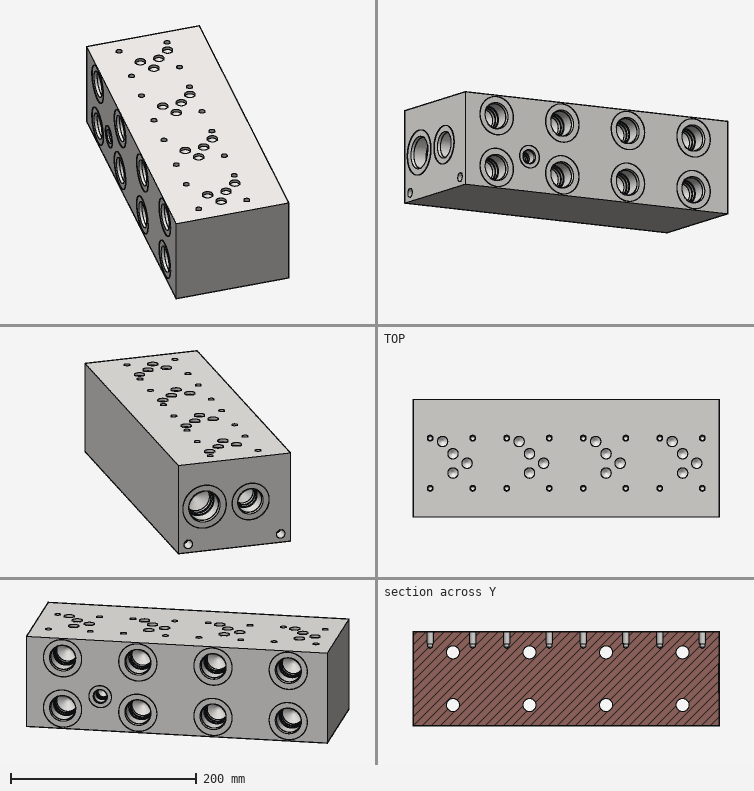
import cadquery as cq
import math

LENGTH, WIDTH, HEIGHT = 330.2, 127.0, 101.7

STATION_COUNT = 4
STATION_PITCH = 82.5
FIRST_STATION_X = 41.3

WORK_PORT_OFFSET_X = -1.5
WORK_PORT_HEIGHTS = (22.5, 79.2)

GAUGE_PORT_X, GAUGE_PORT_Z = 81.0, 38.3

TANK_PORT_Y, PRESSURE_PORT_Y = 97.5, 45.2
MAIN_PORT_Z = HEIGHT / 2

SPOTFACE_DEPTH = 0.5
MEDIUM_PORT = dict(spotface=42.0, mouth=28.7, seat=27.5, thread=27.0, minor=24.8, drill=23.0,
                   seat_depth=4.0, thread_depth=19.0, minor_depth=23.0, drill_depth=28.0)
LARGE_PORT = dict(spotface=49.2, mouth=35.3, seat=34.0, thread=33.7, minor=31.5, drill=28.7,
                  seat_depth=4.0, thread_depth=19.0, minor_depth=23.0, drill_depth=28.0)
SMALL_PORT = dict(spotface=24.8, mouth=15.5, seat=14.5, thread=14.2, minor=13.0, drill=11.2,
                  seat_depth=2.5, thread_depth=12.5, minor_depth=15.2, drill_depth=18.0)

MOUNT_SPACING_Y = 104.7
MOUNT_Z = 9.5
MOUNT_THREAD_DIAMETER, MOUNT_THREAD_DEPTH = 9.5, 16.5
MOUNT_DRILL_DIAMETER, MOUNT_DRILL_DEPTH = 8.0, 19.8

BOLT_SPACING_X, BOLT_SPACING_Y = 46.0, 54.0
BOLT_CENTRE_Y = 58.0
BOLT_THREAD_DIAMETER, BOLT_THREAD_DEPTH = 6.3, 13.2
BOLT_DRILL_DIAMETER, BOLT_DRILL_DEPTH = 5.0, 16.5

PASSAGE_DIAMETER, PASSAGE_DEPTH = 11.2, 3.3
PASSAGES = ((-9.5, 81.5), (1.5, 68.5), (17.0, 58.0), (1.5, 47.5))

DRILL_POINT_ANGLE = 118.0

INTO_FRONT = (0, 1, 0)
INTO_END = (1, 0, 0)
INTO_TOP = (0, 0, -1)


def revolved_cutter(profile, position, inward):
    """Spin (radius, depth) points about the hole axis and aim the depth along inward."""
    cutter = cq.Workplane("XZ").polyline([(0, 0), *profile]).close().revolve()
    across = (inward[1], inward[2], inward[0])
    plane = cq.Plane(origin=position, xDir=across, normal=inward)
    return cutter.val().moved(cq.Location(plane))


def drill_tip(diameter, depth):
    """Axis point where the conical bottom of a drilled hole ends."""
    radius = diameter / 2
    return (0, depth + radius / math.tan(math.radians(DRILL_POINT_ANGLE / 2)))


def threaded_port(position, inward, spotface, mouth, seat, thread, minor, drill,
                  seat_depth, thread_depth, minor_depth, drill_depth):
    """Spotfaced port with a tapered seal seat, a thread bore and a drilled end."""
    profile = [
        (spotface / 2, 0),
        (spotface / 2, SPOTFACE_DEPTH),
        (mouth / 2, SPOTFACE_DEPTH),
        (seat / 2, seat_depth),
        (thread / 2, seat_depth),
        (thread / 2, thread_depth),
        (minor / 2, thread_depth),
        (minor / 2, minor_depth),
        (drill / 2, minor_depth),
        (drill / 2, drill_depth),
        drill_tip(drill, drill_depth),
    ]
    return revolved_cutter(profile, position, inward)


def tapped_hole(position, inward, thread, thread_depth, drill, drill_depth):
    """Thread bore ending in a deeper, narrower tapping drill hole."""
    profile = [
        (thread / 2, 0),
        (thread / 2, thread_depth),
        (drill / 2, thread_depth),
        (drill / 2, drill_depth),
        drill_tip(drill, drill_depth),
    ]
    return revolved_cutter(profile, position, inward)


def drilled_hole(position, inward, diameter, depth):
    """Plain hole with a conical bottom."""
    profile = [(diameter / 2, 0), (diameter / 2, depth), drill_tip(diameter, depth)]
    return revolved_cutter(profile, position, inward)


def station_cutters(centre_x):
    """Work ports, bolts and passages of one valve station."""
    cutters = []
    for z in WORK_PORT_HEIGHTS:
        position = (centre_x + WORK_PORT_OFFSET_X, 0, z)
        cutters.append(threaded_port(position, INTO_FRONT, **MEDIUM_PORT))
    for side_x in (-1, 1):
        for side_y in (-1, 1):
            x = centre_x + side_x * BOLT_SPACING_X / 2
            y = BOLT_CENTRE_Y + side_y * BOLT_SPACING_Y / 2
            cutters.append(tapped_hole((x, y, HEIGHT), INTO_TOP, BOLT_THREAD_DIAMETER, BOLT_THREAD_DEPTH,
                                       BOLT_DRILL_DIAMETER, BOLT_DRILL_DEPTH))
    for offset_x, y in PASSAGES:
        cutters.append(drilled_hole((centre_x + offset_x, y, HEIGHT), INTO_TOP,
                                    PASSAGE_DIAMETER, PASSAGE_DEPTH))
    return cutters


def end_cutters():
    """Tank and pressure ports and the two mounting holes of the -X face."""
    cutters = [
        threaded_port((0, TANK_PORT_Y, MAIN_PORT_Z), INTO_END, **LARGE_PORT),
        threaded_port((0, PRESSURE_PORT_Y, MAIN_PORT_Z), INTO_END, **MEDIUM_PORT),
    ]
    for side in (-1, 1):
        y = WIDTH / 2 + side * MOUNT_SPACING_Y / 2
        cutters.append(tapped_hole((0, y, MOUNT_Z), INTO_END, MOUNT_THREAD_DIAMETER, MOUNT_THREAD_DEPTH,
                                   MOUNT_DRILL_DIAMETER, MOUNT_DRILL_DEPTH))
    return cutters


block = cq.Workplane("XY").box(LENGTH, WIDTH, HEIGHT, centered=False)

all_cutters = end_cutters()
all_cutters.append(threaded_port((GAUGE_PORT_X, 0, GAUGE_PORT_Z), INTO_FRONT, **SMALL_PORT))
for station in range(STATION_COUNT):
    all_cutters += station_cutters(FIRST_STATION_X + station * STATION_PITCH)

result = cq.Workplane(block.val().cut(*all_cutters).Solids()[0])